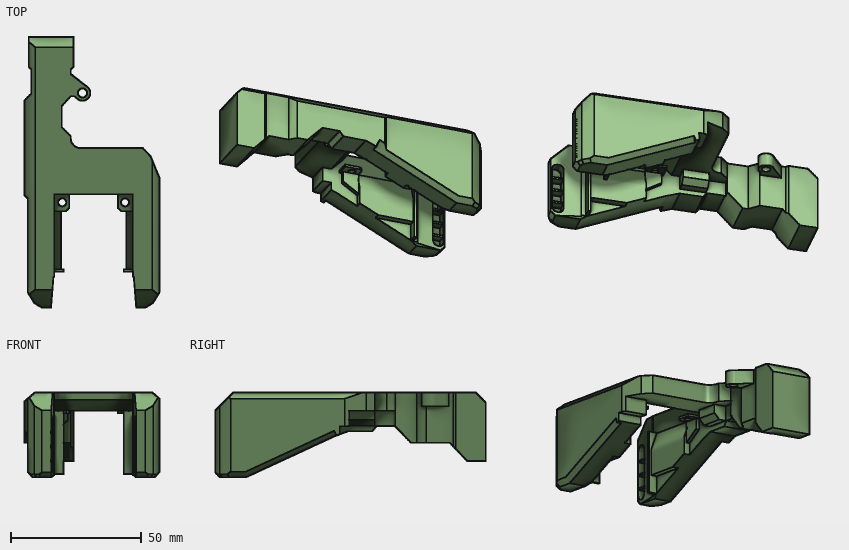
import cadquery as cq
import math

LENGTH = 103.8
WIDTH = 51.9
HEIGHT = 32.6
OVERSIZE = 124.6

LEG_OUTER_X = 1.2
LEG_INNER_X = 11.5
MIRROR_X = (LEG_OUTER_X + WIDTH) / 2
TIP_OUTER = [(LEG_OUTER_X, 6.0), (3.7, 1.9), (6.7, 0.0)]
TIP_INNER_X = 10.3
TIP_TAPER_X = 11.2
TIP_TAPER_Y = 11.8

BAR_FRONT_Y = 43.4
BAR_REAR_Y = 61.3
BAR_BOTTOM_Z = 25.4
BAR_LIP_Z = 29.8
ARCH_Z = 19.6
ARM_BOTTOM_Z = 13.2
TAIL_BOTTOM_Z = 6.2
HEEL_REAR_Y = 51.4
NOTCH_X = 14.4
NOTCH_FRONT_Y = 69.2
NOTCH_REAR_Y = 77.4
NECK_X = 17.9
ARM_INNER_X = 18.9
ARM_OUTER_X = 1.7
CORNER_RADIUS = 3.6

EYE_X = 22.3
EYE_Y = 82.3
EYE_RADIUS = 3.0
EYE_HOLE = 3.4
EYE_DEPTH = 5.4

SIDE_BEVEL_X = 4.2
SIDE_BEVEL_SLOPE = 0.85
FRONT_BEVEL = 7.0
REAR_BEVEL = 3.9
FOOT_Y = 11.8
FOOT_HEEL_Y = 45.7
FOOT_HEEL_Z = 15.7
FOOT_BEVEL = 1.9
FOOT_BEVEL_LENGTH = 38.2
FOOT_BEVEL_RISE = 2.2
TIP_FACET_BEVEL = 1.2
INNER_BEVEL_X = 10.4

TAB_X = 17.2
TAB_FRONT_Y = 37.0
TAB_REAR_Y = 44.3
TAB_THICKNESS = 0.9
TAB_CORNER = 1.2
TAB_HOLE = 3.0
TAB_HOLE_X = 14.5
TAB_HOLE_Y = 40.4
RIB_X = 15.1
RIB_FRONT_Y = 13.7
RIB_THICKNESS = 1.0
RIB_BOTTOM_Z = 1.2
PAD_X = 14.1
PAD_EDGE_Z = 18.3
PAD_ROOT_Z = 25.1
PAD_BOTTOM_Z = 8.1
PAD_EDGE_RADIUS = 5.6
PAD_REAR_Z = 16.2
PAD_RISE = 4.0
SUPPORT_X = 13.0

BRACE_FRONT_Y = 51.0
BRACE_X = 16.7
BRACE_BOTTOM_Z = 22.0
BRACE_SILL_Z = 17.7

OUTLET_FRONT_Y = 0.6
OUTLET_BACK_Y = 5.1
OUTLET_BOTTOM_Z = 1.7
OUTLET_TOP_Z = 23.4
OUTLET_DEPTH = 4.6
VANE_COUNT = 3
VANE_PITCH = 5.5
VANE_FIRST_Z = 5.9
VANE_THICKNESS = 0.8
VANE_SETBACK = 0.2


def mirrored(points):
    """Points reflected to the other leg, in reverse order."""
    return [(2 * MIRROR_X - x, y) for x, y in reversed(points)]


def outer_block(point, normal, along, length=OVERSIZE):
    """Block lying outside a plane, reaching `length` both ways in the direction `along`."""
    plane = cq.Plane(origin=point, xDir=along, normal=normal)
    return cq.Workplane(plane).rect(2 * length, 2 * OVERSIZE).extrude(OVERSIZE)


def box(x0, x1, y0, y1, z0, z1):
    """Box between two opposite corners."""
    return cq.Workplane("XY").box(x1 - x0, y1 - y0, z1 - z0, centered=False).translate((x0, y0, z0))


def plan_body():
    """Plan outline of legs, bar and rear arm at full height."""
    leg_inside = [
        (TIP_INNER_X, 0.0),
        (TIP_TAPER_X, TIP_TAPER_Y),
        (LEG_INNER_X, TIP_TAPER_Y),
        (LEG_INNER_X, BAR_FRONT_Y),
    ]
    arm_outside = [
        (ARM_OUTER_X, LENGTH), (ARM_OUTER_X, 92.3), (2.6, 91.4),
        (2.6, 82.0), (0.0, 79.4), (0.0, 43.1), (LEG_OUTER_X, 41.8),
    ]
    arm_inside = [
        (17.8, 81.0), (NECK_X, 81.0), (NECK_X, 91.4), (ARM_INNER_X, 92.3), (ARM_INNER_X, LENGTH),
    ]
    corner_centre = (NECK_X + CORNER_RADIUS, BAR_REAR_Y + CORNER_RADIUS)
    corner_mid = tuple(c - CORNER_RADIUS * math.sqrt(0.5) for c in corner_centre)
    right_shoulder = [(WIDTH, 49.6), (48.5, 58.0), (45.4, BAR_REAR_Y), (corner_centre[0], BAR_REAR_Y)]
    outline = (
        cq.Workplane("XY")
        .polyline(TIP_OUTER + leg_inside + mirrored(TIP_OUTER + leg_inside) + right_shoulder)
        .threePointArc(corner_mid, (NECK_X, corner_centre[1]))
        .lineTo(NECK_X, 65.7)
        .lineTo(NOTCH_X, NOTCH_FRONT_Y)
        .lineTo(NOTCH_X, NOTCH_REAR_Y)
    )
    for corner in arm_inside + arm_outside:
        outline = outline.lineTo(*corner)
    return outline.close().extrude(HEIGHT)


def side_body():
    """Side outline, with the sloped undersides and the front and rear top bevels."""
    outline = [
        (0.0, FOOT_BEVEL), (FOOT_BEVEL, 0.0), (FOOT_Y, 0.0), (FOOT_HEEL_Y, FOOT_HEEL_Z),
        (BRACE_FRONT_Y, BRACE_SILL_Z), (60.3, BRACE_SILL_Z), (61.9, ARCH_Z), (68.9, ARCH_Z),
        (75.2, ARM_BOTTOM_Z), (90.0, ARM_BOTTOM_Z), (96.7, TAIL_BOTTOM_Z), (LENGTH, TAIL_BOTTOM_Z),
        (LENGTH, HEIGHT - REAR_BEVEL), (LENGTH - REAR_BEVEL, HEIGHT),
        (FRONT_BEVEL, HEIGHT), (0.0, HEIGHT - FRONT_BEVEL),
    ]
    return cq.Workplane("YZ").polyline(outline).close().extrude(WIDTH)


def bar_underside():
    """Open space below the cross bar, with a sloped ceiling behind the lip and open behind the right leg."""
    slope_end_y = BAR_FRONT_Y + BAR_LIP_Z - BAR_BOTTOM_Z
    profile = [
        (BAR_FRONT_Y, 0.0), (BAR_FRONT_Y, BAR_LIP_Z), (slope_end_y, BAR_BOTTOM_Z),
        (NOTCH_FRONT_Y, BAR_BOTTOM_Z), (NOTCH_FRONT_Y, 0.0),
    ]
    space_width = 2 * (MIRROR_X - LEG_INNER_X)
    space = cq.Workplane("YZ", origin=(LEG_INNER_X, 0, 0)).polyline(profile).close().extrude(space_width)
    shoulder_profile = [
        (slope_end_y, 0.0), (slope_end_y, ARCH_Z), (HEEL_REAR_Y, ARCH_Z),
        (HEEL_REAR_Y, BAR_BOTTOM_Z), (NOTCH_FRONT_Y, BAR_BOTTOM_Z), (NOTCH_FRONT_Y, 0.0),
    ]
    shoulder_space = (
        cq.Workplane("YZ", origin=(MIRROR_X, 0, 0))
        .polyline(shoulder_profile)
        .close()
        .extrude(WIDTH - MIRROR_X)
    )
    return space.union(shoulder_space)


def side_bevel():
    """Top bevel along the outer side of the left leg and the arm."""
    return outer_block((SIDE_BEVEL_X, 0, HEIGHT), (-SIDE_BEVEL_SLOPE, 0, 1), (0, 1, 0))


def foot_bevels():
    """Bevels around the underside of the left leg."""
    rise = FOOT_HEEL_Z / (FOOT_HEEL_Y - FOOT_Y)
    edge = cq.Vector(0, 1, rise)
    across = cq.Vector(-FOOT_BEVEL, 0, FOOT_BEVEL_RISE)
    foot_corner = cq.Vector(LEG_OUTER_X + FOOT_BEVEL, FOOT_Y, 0)
    bevels = outer_block(foot_corner, across.cross(edge), edge, FOOT_BEVEL_LENGTH)
    bevels = bevels.union(outer_block(foot_corner, (-FOOT_BEVEL_RISE, 0, -FOOT_BEVEL), (0, 1, 0), FOOT_Y))
    inner_profile = [(INNER_BEVEL_X, 0), (LEG_INNER_X, LEG_INNER_X - INNER_BEVEL_X), (LEG_INNER_X, 0)]
    bevels = bevels.union(cq.Workplane("XZ").polyline(inner_profile).close().extrude(-RIB_FRONT_Y))
    for (x0, y0), (x1, y1) in zip(TIP_OUTER, TIP_OUTER[1:]):
        run = cq.Vector(x1 - x0, y1 - y0, 0)
        outward = cq.Vector(run.y, -run.x, 0).normalized()
        start = cq.Vector(x0, y0, TIP_FACET_BEVEL)
        bevels = bevels.union(outer_block(start, outward - cq.Vector(0, 0, 1), run, FOOT_Y))
    return bevels


def screw_eye():
    """Eye for a screw, carried by a tapered web on the arm."""
    bottom_z = HEIGHT - EYE_DEPTH
    web = (
        cq.Workplane("XY", origin=(0, 0, bottom_z))
        .polyline([(NECK_X, 89.6), (24.2, 84.6), (EYE_X, EYE_Y), (20.2, 80.2), (19.3, 81.0), (NECK_X, 81.0)])
        .close()
        .extrude(EYE_DEPTH)
    )
    boss = cq.Workplane("XY", origin=(EYE_X, EYE_Y, bottom_z)).circle(EYE_RADIUS).extrude(EYE_DEPTH)
    hole = cq.Workplane("XY", origin=(EYE_X, EYE_Y, bottom_z)).circle(EYE_HOLE / 2).extrude(EYE_DEPTH)
    return web.union(boss).cut(hole)


def arm_brace():
    """Brace with a 45 degree lower edge in the corner of the arm and the cross bar."""
    root_z = BRACE_BOTTOM_Z - (BRACE_X - NOTCH_X)
    profile = [
        (LEG_INNER_X, root_z), (NOTCH_X, root_z), (BRACE_X, BRACE_BOTTOM_Z),
        (BRACE_X, BAR_BOTTOM_Z), (LEG_INNER_X, BAR_BOTTOM_Z),
    ]
    length = BAR_REAR_Y - BRACE_FRONT_Y
    return cq.Workplane("XZ", origin=(0, BAR_REAR_Y, 0)).polyline(profile).close().extrude(length)


def screw_tab():
    """Screw tab in the corner of the left leg and the cross bar, with one bevelled corner."""
    bottom_z = BAR_BOTTOM_Z - TAB_THICKNESS
    tab = box(LEG_INNER_X, TAB_X, TAB_FRONT_Y, TAB_REAR_Y, bottom_z, BAR_BOTTOM_Z)
    tab = tab.edges("|Z and >X and <Y").chamfer(TAB_CORNER)
    return tab.faces(">Z").workplane(origin=(TAB_HOLE_X, TAB_HOLE_Y, 0)).hole(TAB_HOLE)


def leg_rib():
    """Thin upright rib across the inner face of the left leg."""
    return box(LEG_INNER_X, RIB_X, RIB_FRONT_Y, RIB_FRONT_Y + RIB_THICKNESS, RIB_BOTTOM_Z, BAR_BOTTOM_Z)


def leg_pad():
    """Raised pad with a sloped top behind the rib, and its extension below the screw tab."""
    profile = [
        (LEG_INNER_X, PAD_BOTTOM_Z), (PAD_X, PAD_BOTTOM_Z), (PAD_X, PAD_EDGE_Z), (LEG_INNER_X, PAD_ROOT_Z)
    ]
    pad_length = TAB_FRONT_Y - RIB_FRONT_Y
    pad = cq.Workplane("XZ", origin=(0, TAB_FRONT_Y, 0)).polyline(profile).close().extrude(pad_length)
    pad = pad.faces(">X").edges("|Y and >Z").fillet(PAD_EDGE_RADIUS)
    support_profile = [
        (TAB_FRONT_Y, PAD_REAR_Z), (BAR_FRONT_Y, PAD_REAR_Z + PAD_RISE),
        (BAR_FRONT_Y, BAR_BOTTOM_Z), (TAB_FRONT_Y, BAR_BOTTOM_Z),
    ]
    support = (
        cq.Workplane("YZ", origin=(LEG_INNER_X, 0, 0))
        .polyline(support_profile)
        .close()
        .extrude(SUPPORT_X - LEG_INNER_X)
    )
    return pad.intersect(side_body()).union(support)


def air_outlet():
    """Round-ended outlet pocket of the left leg, divided by level vanes set back from its mouth."""
    height = OUTLET_TOP_Z - OUTLET_BOTTOM_Z
    width = OUTLET_BACK_Y - OUTLET_FRONT_Y
    bottom_x = TIP_TAPER_X - OUTLET_DEPTH
    centre_y = (OUTLET_FRONT_Y + OUTLET_BACK_Y) / 2
    outlet = (
        cq.Workplane("YZ", origin=(bottom_x, centre_y, OUTLET_BOTTOM_Z + height / 2))
        .slot2D(height, width, 90)
        .extrude(OUTLET_DEPTH)
    )
    for i in range(VANE_COUNT):
        vane_z = VANE_FIRST_Z + i * VANE_PITCH
        outlet = outlet.cut(
            box(bottom_x, TIP_INNER_X - VANE_SETBACK, 0, TIP_TAPER_Y, vane_z, vane_z + VANE_THICKNESS)
        )
    return outlet


def on_both_legs(left_shape):
    """A left-leg shape together with its mirror image on the right leg."""
    return left_shape.union(left_shape.mirror("YZ", (MIRROR_X, 0, 0)))


body = plan_body().intersect(side_body()).cut(bar_underside())
body = body.cut(on_both_legs(side_bevel()))
body = body.cut(on_both_legs(foot_bevels()))
body = body.cut(on_both_legs(air_outlet()))
for part in (screw_tab(), leg_rib(), leg_pad()):
    body = body.union(on_both_legs(part))
result = body.union(arm_brace()).union(screw_eye())